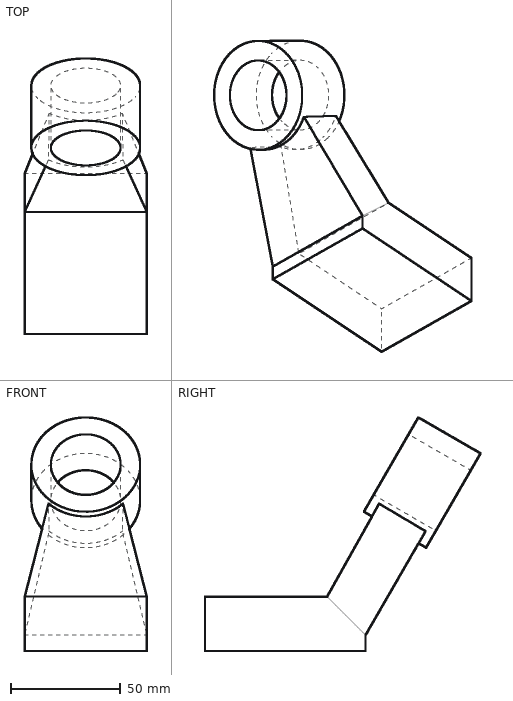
import cadquery as cq
import math

WIDTH = 56.0
FOOT_HEIGHT = 25.0
FOOT_TOP_LENGTH = 56.0
JOINT_SLOPE = 45.0
JOINT_DEPTH = 25.0

ARM_ANGLE = 60.0
RING_OUTER_DIAMETER = 50.0
RING_BORE_DIAMETER = 32.0
RING_LENGTH = 33.0
RING_CENTRE_Y = 99.62
RING_CENTRE_Z = 77.26

ARM_THICKNESS = 25.0
ARM_END_WIDTH = 26.0

foot_length = FOOT_TOP_LENGTH + JOINT_DEPTH * math.cos(math.radians(JOINT_SLOPE))
joint_rear_height = FOOT_HEIGHT - JOINT_DEPTH * math.sin(math.radians(JOINT_SLOPE))

arm_rise = math.sin(math.radians(ARM_ANGLE))
arm_run = math.cos(math.radians(ARM_ANGLE))


def make_foot():
    """Extrude the five-sided foot outline, centred on X = 0."""
    outline = [
        (0, 0),
        (foot_length, 0),
        (foot_length, joint_rear_height),
        (FOOT_TOP_LENGTH, FOOT_HEIGHT),
        (0, FOOT_HEIGHT),
    ]
    return cq.Workplane("YZ").polyline(outline).close().extrude(WIDTH / 2, both=True)


def make_section(front, rear, width):
    """Rectangle across X whose front and rear edges pass through two (Y, Z) points."""
    half = width / 2
    corners = [
        cq.Vector(-half, *front),
        cq.Vector(half, *front),
        cq.Vector(half, *rear),
        cq.Vector(-half, *rear),
    ]
    return cq.Wire.makePolygon(corners, close=True)


def make_arm():
    """Taper from the sloping joint to the plane through the ring axis."""
    offset_y = arm_rise * ARM_THICKNESS / 2
    offset_z = arm_run * ARM_THICKNESS / 2
    joint = make_section((FOOT_TOP_LENGTH, FOOT_HEIGHT), (foot_length, joint_rear_height), WIDTH)
    end = make_section(
        (RING_CENTRE_Y - offset_y, RING_CENTRE_Z + offset_z),
        (RING_CENTRE_Y + offset_y, RING_CENTRE_Z - offset_z),
        ARM_END_WIDTH,
    )
    return cq.Workplane(cq.Solid.makeLoft([joint, end], True))


def make_cylinder(diameter):
    """Cylinder on the ring axis, square to the arm and centred on the ring."""
    plane = cq.Plane(
        origin=(0, RING_CENTRE_Y, RING_CENTRE_Z),
        xDir=(-1, 0, 0),
        normal=(0, -arm_rise, arm_run),
    )
    return cq.Workplane(plane).circle(diameter / 2).extrude(RING_LENGTH / 2, both=True)


body = make_foot().union(make_arm()).union(make_cylinder(RING_OUTER_DIAMETER))
result = body.cut(make_cylinder(RING_BORE_DIAMETER))